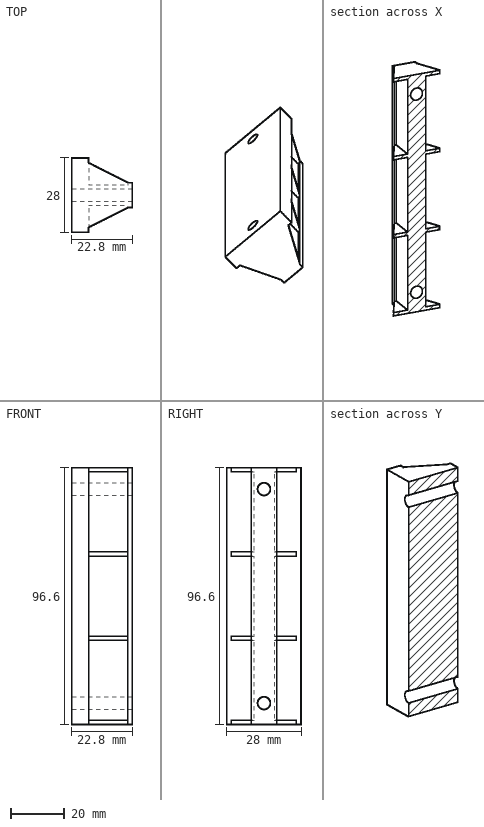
import cadquery as cq

depth = 22.8
height = 96.57
wide_flange_width = 28.0
wide_flange_thickness = 6.37
narrow_flange_width = 9.47
narrow_flange_thickness = 1.63
web_thickness = 7.65
rib_thickness = 1.57
rib_base_width = 24.4
rib_count = 4
hole_diameter = 4.7
hole_spacing = 80.4

narrow_flange_x = depth - narrow_flange_thickness
rib_pitch = (height - rib_thickness) / (rib_count - 1)


def upright_block(x_start, x_end, width):
    """Full-height block, centred on Y."""
    length = x_end - x_start
    return (
        cq.Workplane("XY")
        .box(length, width, height, centered=(False, True, False))
        .translate((x_start, 0, 0))
    )


def tapered_rib(z_bottom):
    """Trapezoidal rib that narrows from the wide flange to the narrow flange."""
    base_half = rib_base_width / 2
    tip_half = narrow_flange_width / 2
    outline = [
        (wide_flange_thickness, -base_half),
        (narrow_flange_x, -tip_half),
        (narrow_flange_x, tip_half),
        (wide_flange_thickness, base_half),
    ]
    return cq.Workplane("XY").workplane(offset=z_bottom).polyline(outline).close().extrude(rib_thickness)


def screw_holes():
    """Two cylinders along X, passing through both flanges and the web."""
    return (
        cq.Workplane("YZ")
        .center(0, height / 2)
        .rarray(1, hole_spacing, 1, 2)
        .circle(hole_diameter / 2)
        .extrude(depth)
    )


body = upright_block(0, wide_flange_thickness, wide_flange_width)
body = body.union(upright_block(wide_flange_thickness, narrow_flange_x, web_thickness))
body = body.union(upright_block(narrow_flange_x, depth, narrow_flange_width))

for index in range(rib_count):
    body = body.union(tapered_rib(index * rib_pitch))

result = body.cut(screw_holes())